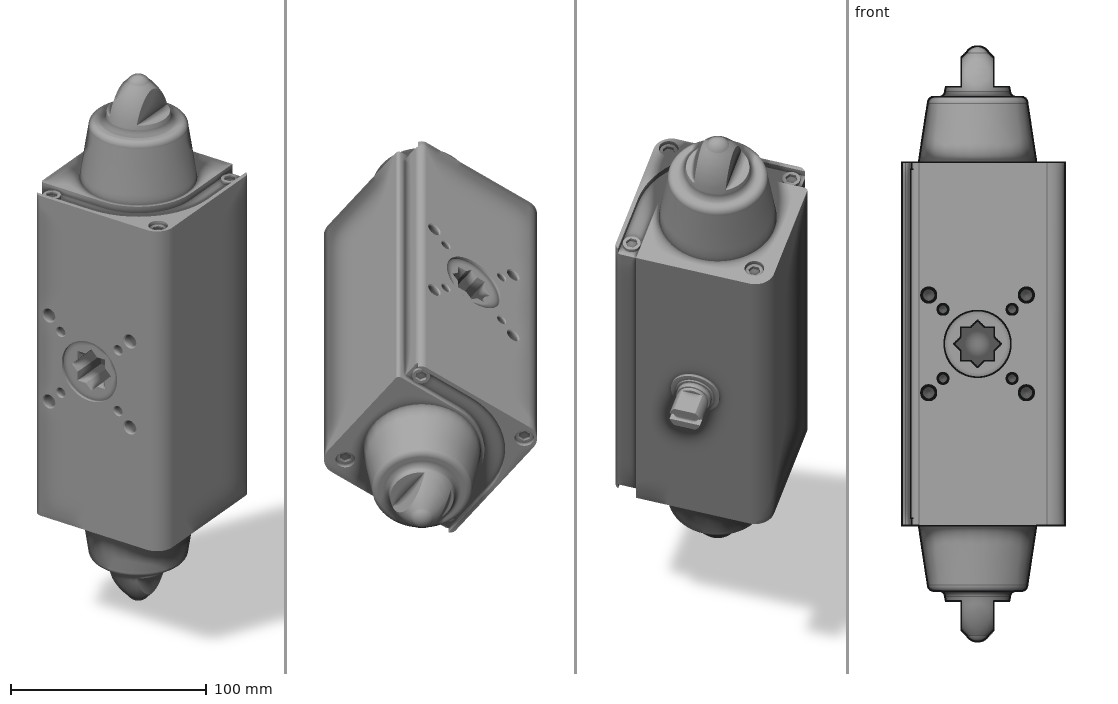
import cadquery as cq
import math


TOTAL_LENGTH = 304.3
BLOCK_LENGTH = 185.5
SQUARE_OUTER = 38.5
SQUARE_INNER = 32.0
SQUARE_CORNER_RADIUS = 10.0
NOTCH_CORNER_RADIUS = 1.8
FLANK_OUTER = 44.7
FLANK_INNER_X = 34.0
FLANK_INNER_Y = 35.5
FLANK_CORNER_RADIUS = 9.5
FLANK_EDGE_RADIUS = 4.0

RECESS_OUTER_RADIUS = 42.5
RECESS_DEPTH = 3.5
SCREW_LEFT = -28.0
SCREW_RIGHT = 37.5
SCREW_FRONT = -37.5
SCREW_BACK = 28.0
SCREW_WELL_DIAMETER = 10.0
SCREW_HEAD_DIAMETER = 9.0
SCREW_HEAD_DROP = 1.8
HEX_CORNER_DIAMETER = 6.5
HEX_DEPTH = 2.7

CAP_BASE_RADIUS = 30.0
CAP_RIM_RADIUS = 25.5
CAP_RIM_HEIGHT = 123.0
CAP_TOP_HEIGHT = 126.3
CAP_TOP_RADIUS = 22.5
NOSE_FOOT_RADIUS = 19.2
NOSE_RADIUS = 16.7
NOSE_START_HEIGHT = 129.0
NOSE_MIDDLE_RADIUS = 12.8
NOSE_MIDDLE_HEIGHT = 140.0
TIP_RADIUS = 5.8
TIP_HEIGHT = 148.8
FLAT_SPACING = 16.7
FLAT_FLOOR_HEIGHT = 131.5

LARGE_HOLE_OFFSET = 25.0
LARGE_HOLE_DIAMETER = 6.7
LARGE_HOLE_MOUTH = 8.0
SMALL_HOLE_OFFSET = 17.5
SMALL_HOLE_DIAMETER = 5.0
SMALL_HOLE_MOUTH = 5.8
MOUNTING_HOLE_DEPTH = 12.2
DRILL_POINT_ANGLE = 118.0

JOURNAL_DIAMETER = 34.0
JOURNAL_SINK = 1.8
JOURNAL_END = 0.0
COLLAR_STEPS = [(26.0, 40.2), (20.5, 41.0), (18.0, 43.8), (16.0, 45.5)]
DRIVE_DIAMETER = 16.7
DRIVE_END = 58.5
DRIVE_ACROSS_FLATS = 12.5
DRIVE_SLOT_WIDTH = 4.3
DRIVE_SLOT_DEPTH = 4.0
STAR_SQUARE = 17.0
STAR_DEPTH = 21.3

HALF_LENGTH = TOTAL_LENGTH / 2
HALF_BLOCK = BLOCK_LENGTH / 2
CUT_MARGIN = 3.0


def rectangle_prism(x_min, x_max, y_min, y_max, z_min, z_max):
    size = (x_max - x_min, y_max - y_min, z_max - z_min)
    return cq.Workplane("XY").box(*size, centered=False).translate((x_min, y_min, z_min))


def y_cylinder(diameter, y_start, y_end):
    """Cylinder along the shaft axis."""
    plane = cq.Workplane("XZ", origin=(0, y_start, 0))
    return plane.circle(diameter / 2).extrude(y_start - y_end)


def square_prism(z_min, z_max):
    """Main square of the block, with its +X -Y corner rounded about the cap axis."""
    return (
        cq.Workplane("XY", origin=(0, 0, z_min))
        .moveTo(-SQUARE_OUTER, SQUARE_OUTER)
        .lineTo(-SQUARE_OUTER, -SQUARE_INNER)
        .lineTo(0, -SQUARE_INNER)
        .radiusArc((SQUARE_INNER, 0), -SQUARE_INNER)
        .lineTo(SQUARE_INNER, SQUARE_OUTER)
        .close()
        .extrude(z_max - z_min)
        .edges("|Z and <X and >Y").fillet(SQUARE_CORNER_RADIUS)
        .edges("|Z and <X and <Y").fillet(NOTCH_CORNER_RADIUS)
    )


def flank_prism():
    """Offset square that forms the +X and -Y flanks of the block."""
    return (
        rectangle_prism(-FLANK_INNER_X, FLANK_OUTER, -FLANK_OUTER, FLANK_INNER_Y, -HALF_BLOCK, HALF_BLOCK)
        .edges("|Z and >X and <Y").fillet(FLANK_CORNER_RADIUS)
        .edges("|Z and (<X and <Y)").fillet(FLANK_EDGE_RADIUS)
        .edges("|Z and (>X and >Y)").fillet(FLANK_EDGE_RADIUS)
    )


def end_recess():
    """Curved recess in the +Z end, open at both its ends, around the main square."""
    reach = SQUARE_OUTER + CUT_MARGIN
    z_min = HALF_BLOCK - RECESS_DEPTH
    z_max = HALF_BLOCK + CUT_MARGIN
    band = (
        cq.Workplane("XY", origin=(0, 0, z_min))
        .moveTo(-reach, reach)
        .lineTo(-reach, -RECESS_OUTER_RADIUS)
        .lineTo(0, -RECESS_OUTER_RADIUS)
        .radiusArc((RECESS_OUTER_RADIUS, 0), -RECESS_OUTER_RADIUS)
        .lineTo(RECESS_OUTER_RADIUS, reach)
        .close()
        .extrude(z_max - z_min)
    )
    return band.cut(square_prism(z_min, z_max))


def at_end_screws(solid):
    places = [(x, y, 0) for x in (SCREW_LEFT, SCREW_RIGHT) for y in (SCREW_FRONT, SCREW_BACK)]
    return [solid.translate(place) for place in places]


def screw_well():
    """Round clearance around a screw head, down to the level of the recess floor."""
    return (
        cq.Workplane("XY", origin=(0, 0, HALF_BLOCK - RECESS_DEPTH))
        .circle(SCREW_WELL_DIAMETER / 2)
        .extrude(RECESS_DEPTH + CUT_MARGIN)
    )


def screw_head():
    """Round screw head with a hexagon socket, one piece with the housing."""
    socket = (
        cq.Workplane("XY", origin=(0, 0, HALF_BLOCK - SCREW_HEAD_DROP))
        .polygon(6, HEX_CORNER_DIAMETER)
        .extrude(-HEX_DEPTH)
    )
    return (
        cq.Workplane("XY", origin=(0, 0, HALF_BLOCK - RECESS_DEPTH))
        .circle(SCREW_HEAD_DIAMETER / 2)
        .extrude(RECESS_DEPTH - SCREW_HEAD_DROP)
        .cut(socket)
    )


def end_cap():
    """Tapered cap on the +Z end with a domed, two-flatted nose."""
    tip_sphere = (TIP_RADIUS ** 2 + (HALF_LENGTH - TIP_HEIGHT) ** 2) / (2 * (HALF_LENGTH - TIP_HEIGHT))
    cap = (
        cq.Workplane("XZ")
        .moveTo(0, HALF_BLOCK - CUT_MARGIN)
        .lineTo(CAP_BASE_RADIUS, HALF_BLOCK - CUT_MARGIN)
        .lineTo(CAP_BASE_RADIUS, HALF_BLOCK)
        .lineTo(CAP_RIM_RADIUS, CAP_RIM_HEIGHT)
        .radiusArc((CAP_TOP_RADIUS, CAP_TOP_HEIGHT), -(CAP_TOP_HEIGHT - CAP_RIM_HEIGHT))
        .lineTo(NOSE_FOOT_RADIUS, CAP_TOP_HEIGHT)
        .radiusArc((NOSE_RADIUS, NOSE_START_HEIGHT), NOSE_START_HEIGHT - CAP_TOP_HEIGHT)
        .threePointArc((NOSE_MIDDLE_RADIUS, NOSE_MIDDLE_HEIGHT), (TIP_RADIUS, TIP_HEIGHT))
        .radiusArc((0, HALF_LENGTH), -tip_sphere)
        .close()
        .revolve(360, (0, 0, 0), (0, 1, 0))
    )
    for side in (-1, 1):
        flat = rectangle_prism(
            FLAT_SPACING / 2, NOSE_RADIUS + CUT_MARGIN, -NOSE_FOOT_RADIUS, NOSE_FOOT_RADIUS,
            FLAT_FLOOR_HEIGHT, HALF_LENGTH,
        )
        cap = cap.cut(flat if side > 0 else flat.mirror("YZ"))
    return cap


def mounting_hole(diameter, mouth):
    """Drilled hole along +Y from the -Y face, with a chamfered mouth and a conical bottom."""
    radius = diameter / 2
    chamfer = (mouth - diameter) / 2
    bottom = MOUNTING_HOLE_DEPTH
    point = bottom + radius / math.tan(math.radians(DRILL_POINT_ANGLE / 2))
    outline = [(0, 0), (mouth / 2, 0), (radius, chamfer), (radius, bottom), (0, point)]
    return (
        cq.Workplane("XY")
        .polyline(outline)
        .close()
        .revolve(360, (0, 0, 0), (0, 1, 0))
        .translate((0, -FLANK_OUTER, 0))
    )


def shaft_blank():
    """Stepped round shaft before its socket, flats and slot are cut."""
    blank = y_cylinder(JOURNAL_DIAMETER, JOURNAL_SINK - FLANK_OUTER, JOURNAL_END)
    step_start = JOURNAL_END
    for diameter, step_end in COLLAR_STEPS + [(DRIVE_DIAMETER, DRIVE_END)]:
        blank = blank.union(y_cylinder(diameter, step_start, step_end))
        step_start = step_end
    return blank


def build_shaft():
    shaft = shaft_blank()

    socket_start = JOURNAL_SINK - FLANK_OUTER
    for turn in (0, 45):
        square = (
            cq.Workplane("XZ", origin=(0, socket_start, 0))
            .transformed(rotate=(0, 0, turn))
            .rect(STAR_SQUARE, STAR_SQUARE)
            .extrude(-STAR_DEPTH)
        )
        shaft = shaft.cut(square)

    flat_start = COLLAR_STEPS[-1][1]
    flat = rectangle_prism(
        -DRIVE_DIAMETER, DRIVE_DIAMETER, flat_start, DRIVE_END, DRIVE_ACROSS_FLATS / 2, DRIVE_DIAMETER
    )
    shaft = shaft.cut(flat).cut(flat.mirror("XY"))

    slot = rectangle_prism(
        -DRIVE_DIAMETER, DRIVE_DIAMETER, DRIVE_END - DRIVE_SLOT_DEPTH, DRIVE_END,
        -DRIVE_SLOT_WIDTH / 2, DRIVE_SLOT_WIDTH / 2,
    )
    return shaft.cut(slot)


def build_housing():
    housing = square_prism(-HALF_BLOCK, HALF_BLOCK).union(flank_prism())

    for tool in [end_recess()] + at_end_screws(screw_well()):
        housing = housing.cut(tool).cut(tool.mirror("XY"))
    for addition in at_end_screws(screw_head()) + [end_cap()]:
        housing = housing.union(addition).union(addition.mirror("XY"))

    patterns = [
        (LARGE_HOLE_OFFSET, LARGE_HOLE_DIAMETER, LARGE_HOLE_MOUTH),
        (SMALL_HOLE_OFFSET, SMALL_HOLE_DIAMETER, SMALL_HOLE_MOUTH),
    ]
    for offset, diameter, mouth in patterns:
        hole = mounting_hole(diameter, mouth)
        for x in (-offset, offset):
            for z in (-offset, offset):
                housing = housing.cut(hole.translate((x, 0, z)))

    housing = housing.cut(y_cylinder(JOURNAL_DIAMETER, -FLANK_OUTER, JOURNAL_END))
    return housing.cut(y_cylinder(COLLAR_STEPS[0][0], JOURNAL_END, SQUARE_OUTER))


housing = build_housing()
shaft = build_shaft()
result = cq.Compound.makeCompound([housing.val(), shaft.val()])